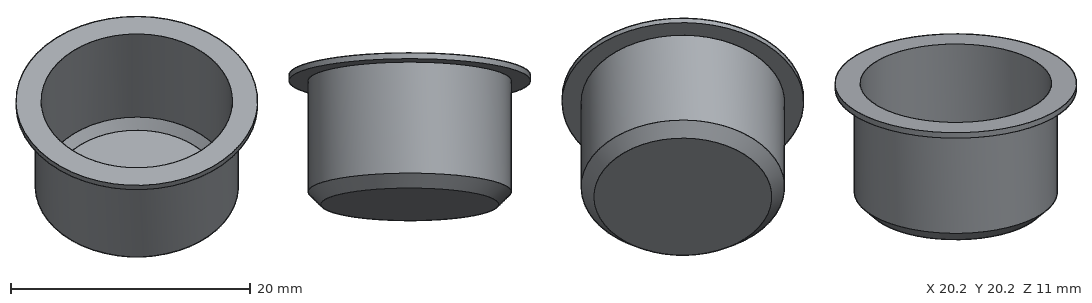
import cadquery as cq
import math

flange_diameter = 20.2
body_diameter = 17.0
bore_diameter = 16.0
height = 11.0
flange_thickness = 0.5
chamfer = 1.07

wall = (body_diameter - bore_diameter) / 2
inner_chamfer = chamfer - wall * (2 - math.sqrt(2))

flange_radius = flange_diameter / 2
body_radius = body_diameter / 2
bore_radius = bore_diameter / 2


def chamfered_plug(radius, bottom, edge_chamfer):
    """Cylinder from the given bottom level to the rim, chamfered at its lower edge."""
    return (
        cq.Workplane("XY", origin=(0, 0, bottom))
        .circle(radius)
        .extrude(height - bottom)
        .faces("<Z")
        .chamfer(edge_chamfer)
    )


body = chamfered_plug(body_radius, 0, chamfer)
flange = (
    cq.Workplane("XY", origin=(0, 0, height - flange_thickness))
    .circle(flange_radius)
    .extrude(flange_thickness)
)

cavity = chamfered_plug(bore_radius, wall, inner_chamfer)

result = body.union(flange).cut(cavity)